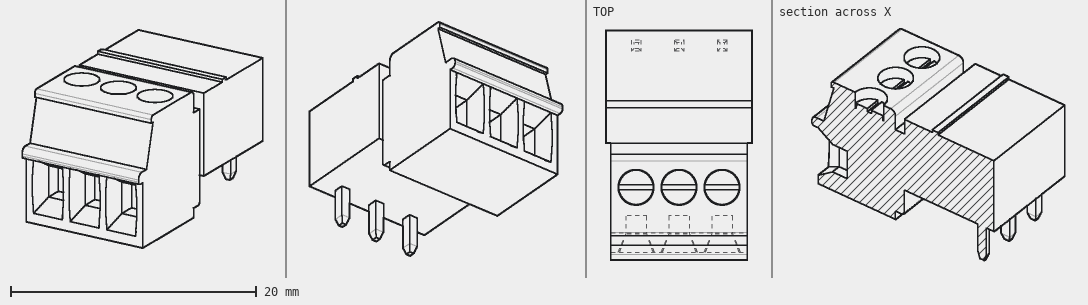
import cadquery as cq

total_length = 18.7
total_height = 11.1
pole_pitch = 3.5
pole_positions = [-pole_pitch, 0.0, pole_pitch]

header_width = 11.9
header_length = 9.18
header_bottom = 3.4
header_top = 10.65
header_front = total_length - header_length
rib_front = 12.38
rib_length = 0.6
rib_height = 0.25

pin_width = 0.8
pin_length = 0.9
pin_back_gap = 0.79
pin_center_y = total_length - pin_back_gap - pin_length / 2
pin_taper_height = 0.65
pin_taper_inset = 0.2

block_width = 11.13
block_front = 0.65
block_back = 8.6
tab_bottom = 0.85
tab_top = 9.18
back_top_radius = 0.5
small_radius = 0.3
slope_top_y = 2.25
slope_bottom_y = 1.23
brow_front = 1.98
brow_height = 0.64
brow_bottom = total_height - brow_height
lip_bottom = 5.7
lip_top = 6.7
lip_top_radius = 0.5

entry_floor = 0.9
entry_top = lip_bottom
entry_mid_z = (entry_floor + entry_top) / 2
entry_end_width = 2.73
entry_middle_width = 3.0
funnel_depth = 1.5
funnel_inset = 1.03
wire_pocket_width = 1.7
wire_pocket_height = entry_top - entry_floor - 2 * funnel_inset
wire_pocket_depth = 1.5

screw_center_y = 5.93
screw_hole_diameter = 2.9
screw_head_diameter = 2.8
screw_head_recess = 1.08
screw_head_height = 0.5
screw_slot_width = 0.4
screw_slot_depth = 0.3


def box(width, y_start, y_end, z_start, z_end):
    """Box centred on X = 0 that spans the given Y and Z ranges."""
    return (
        cq.Workplane("XY", origin=(0, y_start, z_start))
        .rect(width, y_end - y_start)
        .extrude(z_end - z_start)
        .translate((0, (y_end - y_start) / 2, 0))
    )


def make_header():
    housing = box(header_width, header_front, total_length, header_bottom, header_top)
    rib = box(header_width, rib_front, rib_front + rib_length, header_top, header_top + rib_height)
    return housing.union(rib)


def make_pin():
    """Rectangular pin on X = 0 with a tapered tip that ends at Z = 0."""
    shaft = (
        cq.Workplane("XY", origin=(0, pin_center_y, pin_taper_height))
        .rect(pin_width, pin_length)
        .extrude(header_bottom - pin_taper_height)
    )
    tip = (
        cq.Workplane("XY", origin=(0, pin_center_y, 0))
        .rect(pin_width - 2 * pin_taper_inset, pin_length - 2 * pin_taper_inset)
        .workplane(offset=pin_taper_height)
        .rect(pin_width, pin_length)
        .loft()
    )
    return shaft.union(tip)


def make_clamp_block():
    """Side profile in the YZ plane, swept across the block width."""
    return (
        cq.Workplane("YZ")
        .moveTo(block_front, 0)
        .lineTo(block_back, 0)
        .lineTo(block_back, tab_bottom)
        .lineTo(header_front - small_radius, tab_bottom)
        .radiusArc((header_front, tab_bottom + small_radius), -small_radius)
        .lineTo(header_front, tab_top)
        .lineTo(block_back, tab_top)
        .lineTo(block_back, total_height - back_top_radius)
        .radiusArc((block_back - back_top_radius, total_height), -back_top_radius)
        .lineTo(brow_front + small_radius, total_height)
        .radiusArc((brow_front, total_height - small_radius), -small_radius)
        .lineTo(brow_front, brow_bottom)
        .lineTo(slope_top_y, brow_bottom)
        .lineTo(slope_bottom_y, lip_top)
        .lineTo(lip_top_radius, lip_top)
        .radiusArc((0, lip_top - lip_top_radius), -lip_top_radius)
        .lineTo(0, lip_bottom + small_radius)
        .radiusArc((small_radius, lip_bottom), -small_radius)
        .lineTo(block_front, lip_bottom)
        .close()
        .extrude(block_width / 2, both=True)
    )


def make_wire_entry():
    """Bulged mouth that funnels into a rectangular wire pocket, on X = 0."""
    half_end = entry_end_width / 2
    half_middle = entry_middle_width / 2
    half_height = (entry_top - entry_floor) / 2
    mouth_plane = cq.Workplane("XZ", origin=(0, block_front, entry_mid_z))
    funnel = (
        mouth_plane
        .moveTo(-half_end, -half_height)
        .lineTo(half_end, -half_height)
        .threePointArc((half_middle, 0), (half_end, half_height))
        .lineTo(-half_end, half_height)
        .threePointArc((-half_middle, 0), (-half_end, -half_height))
        .close()
        .workplane(offset=-funnel_depth)
        .rect(wire_pocket_width, wire_pocket_height)
        .loft(ruled=True)
    )
    pocket = (
        mouth_plane
        .workplane(offset=-funnel_depth)
        .rect(wire_pocket_width, wire_pocket_height)
        .extrude(-wire_pocket_depth)
    )
    return funnel.union(pocket)


def make_screw_recess():
    """Space around and above a sunken slotted screw head, on X = 0."""
    head_top = total_height - screw_head_recess
    head_bottom = head_top - screw_head_height
    hole = (
        cq.Workplane("XY", origin=(0, screw_center_y, head_bottom))
        .circle(screw_hole_diameter / 2)
        .extrude(total_height - head_bottom)
    )
    head = (
        cq.Workplane("XY", origin=(0, screw_center_y, head_bottom))
        .circle(screw_head_diameter / 2)
        .extrude(screw_head_height)
    )
    slot = box(
        screw_head_diameter,
        screw_center_y - screw_slot_width / 2,
        screw_center_y + screw_slot_width / 2,
        head_top - screw_slot_depth,
        head_top,
    )
    return hole.cut(head.cut(slot))


result = make_header().union(make_clamp_block())
for pole_x in pole_positions:
    at_pole = (pole_x, 0, 0)
    result = result.union(make_pin().translate(at_pole))
    result = result.cut(make_wire_entry().translate(at_pole))
    result = result.cut(make_screw_recess().translate(at_pole))